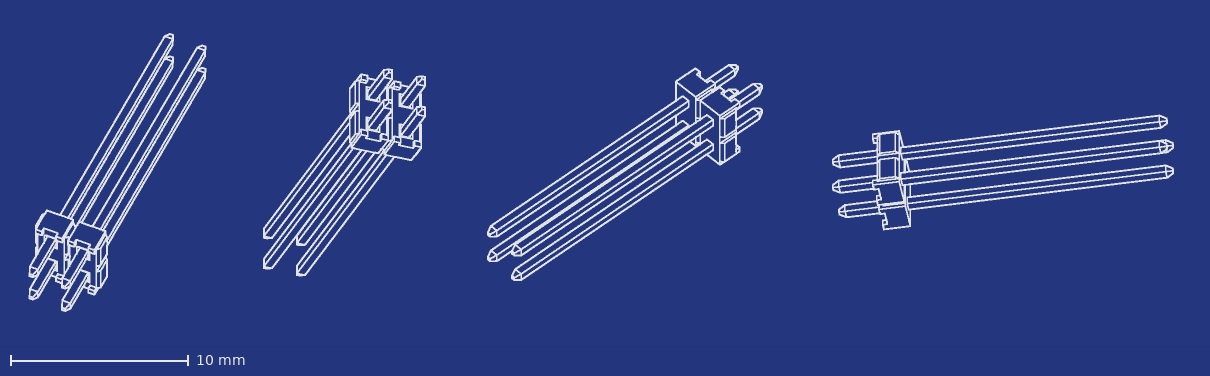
import cadquery as cq

PITCH = 2.0
COUNT = 2
OVERALL_LENGTH = 19.08

PIN_WIDTH = 0.5
PIN_TIP_WIDTH = 0.2
PIN_TIP_LENGTH = 0.38
PIN_FRONT_LENGTH = 2.68

HOUSING_DEPTH = 1.25
COLUMN_WIDTH = 1.64
COLUMN_HEIGHT = PITCH * COUNT

LUG_HEIGHT = 1.5
LUG_BACK_BEVEL = 0.2
LUG_FRONT_BEVEL = 0.18
LUG_PROJECTION = (PITCH - COLUMN_WIDTH) / 2

FOOT_WIDTH = 0.39
FOOT_HEIGHT = 0.35
FOOT_DEPTH = 0.265

RECESS_WIDTH = 0.81
RECESS_DEPTH = (RECESS_WIDTH - PIN_WIDTH) / 2

HOUSING_FRONT_Y = -HOUSING_DEPTH
PIN_FRONT_Y = HOUSING_FRONT_Y - PIN_FRONT_LENGTH
PIN_BACK_Y = PIN_FRONT_Y + OVERALL_LENGTH
PIN_OFFSETS = [(i - (COUNT - 1) / 2) * PITCH for i in range(COUNT)]


def block(width, height, x, z, front_y, back_y):
    """Box centred on (x, z) that spans front_y to back_y."""
    depth = back_y - front_y
    return cq.Workplane("XY").box(width, depth, height).translate((x, (front_y + back_y) / 2, z))


def square_taper(start_width, end_width, x, z, start_y, end_y):
    """Square frustum centred on (x, z), lofted from start_y to end_y."""
    return (
        cq.Workplane("XZ", origin=(x, start_y, z))
        .rect(start_width, start_width)
        .workplane(offset=start_y - end_y)
        .rect(end_width, end_width)
        .loft(ruled=True)
    )


def pin(x, z):
    shank_front_y = PIN_FRONT_Y + PIN_TIP_LENGTH
    shank_back_y = PIN_BACK_Y - PIN_TIP_LENGTH
    shank = block(PIN_WIDTH, PIN_WIDTH, x, z, shank_front_y, shank_back_y)
    front_tip = square_taper(PIN_WIDTH, PIN_TIP_WIDTH, x, z, shank_front_y, PIN_FRONT_Y)
    back_tip = square_taper(PIN_WIDTH, PIN_TIP_WIDTH, x, z, shank_back_y, PIN_BACK_Y)
    return shank.union(front_tip).union(back_tip)


def column(x):
    """Upright housing bar with a standoff foot at each front corner."""
    bar = block(COLUMN_WIDTH, COLUMN_HEIGHT, x, 0, HOUSING_FRONT_Y, 0)
    foot_x = (COLUMN_WIDTH - FOOT_WIDTH) / 2
    foot_z = (COLUMN_HEIGHT - FOOT_HEIGHT) / 2
    for side_x in (-1, 1):
        for side_z in (-1, 1):
            foot = block(
                FOOT_WIDTH,
                FOOT_HEIGHT,
                x + side_x * foot_x,
                side_z * foot_z,
                HOUSING_FRONT_Y - FOOT_DEPTH,
                0,
            )
            bar = bar.union(foot)
    return bar


def lug(x, z):
    """Eight-sided block, one pitch wide, that shows as a bevelled lug on both column sides."""
    inner = COLUMN_WIDTH / 2
    outer = inner + LUG_PROJECTION
    outline = [
        (-inner, 0),
        (inner, 0),
        (outer, -LUG_BACK_BEVEL),
        (outer, HOUSING_FRONT_Y + LUG_FRONT_BEVEL),
        (inner, HOUSING_FRONT_Y),
        (-inner, HOUSING_FRONT_Y),
        (-outer, HOUSING_FRONT_Y + LUG_FRONT_BEVEL),
        (-outer, -LUG_BACK_BEVEL),
    ]
    return (
        cq.Workplane("XY")
        .polyline(outline)
        .close()
        .extrude(LUG_HEIGHT)
        .translate((x, 0, z - LUG_HEIGHT / 2))
    )


def recess(x, z):
    return square_taper(
        RECESS_WIDTH, PIN_WIDTH, x, z, HOUSING_FRONT_Y, HOUSING_FRONT_Y + RECESS_DEPTH
    )


pin_places = [(x, z) for x in PIN_OFFSETS for z in PIN_OFFSETS]

result = column(PIN_OFFSETS[0])
for column_x in PIN_OFFSETS[1:]:
    result = result.union(column(column_x))
for pin_x, pin_z in pin_places:
    result = result.union(lug(pin_x, pin_z))
for pin_x, pin_z in pin_places:
    result = result.cut(recess(pin_x, pin_z))
for pin_x, pin_z in pin_places:
    result = result.union(pin(pin_x, pin_z))